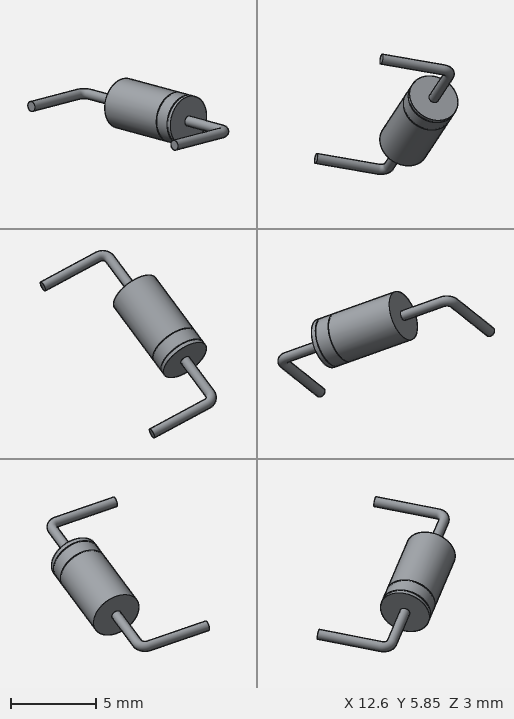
import cadquery as cq

overall_length = 12.6
wire_diameter = 0.6
wire_radius = wire_diameter / 2
leg_offset = overall_length / 2 - wire_radius
leg_reach = 4.35
bend_radius = 0.5

housing_diameter = 3.0
housing_length = 5.5
housing_radius = housing_diameter / 2

band_width = 0.91
band_end_gap = 0.28
band_thickness = 0.06
band_start = housing_length / 2 - band_end_gap - band_width


def x_cylinder(radius, start, length):
    """Cylinder around the X axis, growing toward +X from start."""
    return cq.Workplane("YZ").workplane(offset=start).circle(radius).extrude(length)


def make_band():
    """Polarity ring, flush with the outside of the housing."""
    outer = x_cylinder(housing_radius, band_start, band_width)
    inner = x_cylinder(housing_radius - band_thickness, band_start, band_width)
    return outer.cut(inner)


def make_housing(band):
    """Cylinder with a groove for the band and a through bore for the wire."""
    start = -housing_length / 2
    blank = x_cylinder(housing_radius, start, housing_length)
    bore = x_cylinder(wire_radius, start, housing_length)
    return blank.cut(band).cut(bore)


def make_wire():
    """One round wire through the housing, with both ends bent toward -Y."""
    straight_end = leg_offset - bend_radius
    path = (
        cq.Workplane("XY")
        .moveTo(-leg_offset, -leg_reach)
        .lineTo(-leg_offset, -bend_radius)
        .radiusArc((-straight_end, 0), bend_radius)
        .lineTo(straight_end, 0)
        .radiusArc((leg_offset, -bend_radius), bend_radius)
        .lineTo(leg_offset, -leg_reach)
    )
    leg_end = cq.Workplane("XZ", origin=(-leg_offset, -leg_reach, 0))
    return leg_end.circle(wire_radius).sweep(path)


band = make_band()
housing = make_housing(band)
wire = make_wire()

result = cq.Compound.makeCompound([housing.val(), band.val(), wire.val()])